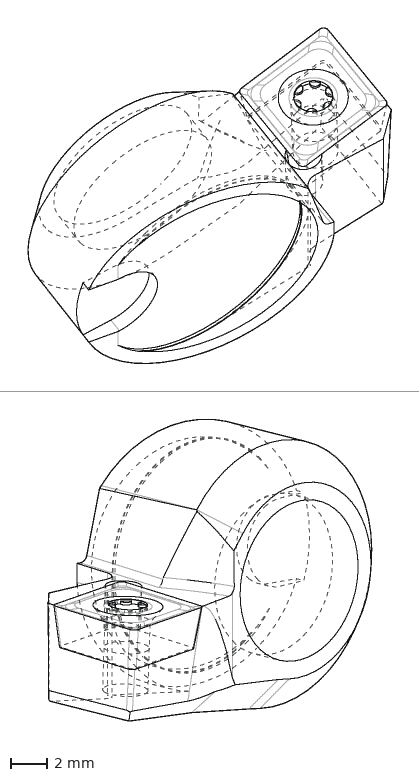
import cadquery as cq
import math


head_radius = 7.5
head_chamfer = 2.0
head_blank_end = 13.1
rear_face_angle = 9.0
rear_face_x = 9.8
lower_flank_angle = 8.0
upper_flank_angle = 38.5

bore_radius = 6.51
bore_floor_x = 7.78
relief_length = 0.2
relief_depth = 0.05
slot_width = 4.98
slot_floor_x = 6.93
slot_centre_y = -5.25

plug_radius = 4.5
plug_depth = head_chamfer

arm_end_y = 14.22
arm_right_x = 6.51
arm_corner_chamfer = 1.42
arm_root_radius = 0.9
arm_root_y = 7.47
arm_tip_chamfer_sum = 18.49
arm_chamfer_swings = [(0.87, 3.2), (4.4, 13.1)]
arm_side_angle = 10.0
arm_side_lean = 10.0
arm_side_x = -1.7
side_bend_y = 8.0
side_flare_radius = 6.55
side_flare_end_angle = 30.0
web_angle = 12.0
web_start_y = 5.1

wall_angle = 13.0
wall_foot_y = 6.9
wall_fillet = 0.45
wall_arc_end = (4.8, 7.6)
wall_arc_middle = (2.45, 6.03)
wall_arc_start = (-0.07, 4.92)

insert_centre = (1.97, 11.17)
insert_half_height = 3.2
insert_thickness = 2.38
insert_angle = 10.0
clearance_angle = 7.0
nose_radius = 0.3
arm_corner_radius = 0.22
rake_angle = 2.5
groove_depth = 0.09
groove_inset = 0.33
plateau_base_inset = 0.35
plateau_inset = 0.75
plateau_corner_radius = 0.87
pocket_relief_radius = 1.0
pocket_relief_centre = (5.0, 8.57)

screw_head_radius = 1.92
screw_head_height = 0.87
screw_shank_radius = 1.25
screw_length = 4.8
lip_radius = 1.33
lip_height = 0.09
socket_radius = 1.07
socket_countersink = 0.1
socket_depth = 0.26
lobe_count = 6
lobe_radius = 0.3
lobe_start_angle = 22.0

far = 21.85


def tan(degrees):
    return math.tan(math.radians(degrees))


def cos(degrees):
    return math.cos(math.radians(degrees))


def sin(degrees):
    return math.sin(math.radians(degrees))


def rhombus(inset):
    """Corners of the insert outline, moved inwards, starting at the cutting nose."""
    half = insert_half_height - inset
    run = half / cos(insert_angle)
    shift = half * tan(insert_angle)
    return [(-run - shift, half), (run - shift, half), (run + shift, -half), (-run + shift, -half)]


nose_x = insert_centre[0] + rhombus(0)[0][0]


def rake(shape):
    """Tilt a shape with the insert, about a line along Y through the cutting nose."""
    return shape.rotate((nose_x, 0, 0), (nose_x, 1, 0), -rake_angle)


def at_insert(z):
    return cq.Workplane("XY", origin=(*insert_centre, z))


def rounded_rhombus(inset, corner_radius):
    corners = rhombus(inset)
    return cq.Sketch().polygon(corners + corners[:1]).vertices().fillet(corner_radius)


def rhombus_loft(top_inset, bottom_inset, height, corner_radius):
    """Solid that hangs below Z = 0 between two round-cornered insert outlines."""
    top = rounded_rhombus(top_inset, corner_radius)
    bottom = rounded_rhombus(bottom_inset, corner_radius)
    return at_insert(0).placeSketch(top, bottom.moved(cq.Location((0, 0, -height)))).loft(ruled=True)


def make_insert_blank():
    bottom_inset = insert_thickness * tan(clearance_angle)
    return rhombus_loft(0, bottom_inset, insert_thickness, nose_radius)


def make_chip_groove():
    """Ring-shaped groove between the cutting edges and the raised middle."""
    groove = rhombus_loft(0, groove_inset, groove_depth, nose_radius)
    plateau = rhombus_loft(plateau_inset, plateau_base_inset, groove_depth, plateau_corner_radius)
    return groove.cut(plateau)


def make_screw_blank():
    """Straight shank and countersunk head, flat on top with a low lip in the middle."""
    return (
        cq.Workplane("XZ", origin=(*insert_centre, 0))
        .moveTo(0, -screw_length)
        .lineTo(screw_shank_radius, -screw_length)
        .lineTo(screw_shank_radius, -screw_head_height)
        .lineTo(screw_head_radius, 0)
        .lineTo(lip_radius, 0)
        .tangentArcPoint((socket_radius, lip_height), relative=False)
        .lineTo(0, lip_height)
        .close()
        .revolve(360, (0, 0), (0, 1))
    )


def make_socket():
    """Round recess with lobes that stand between the star points."""
    lobes = (
        at_insert(lip_height - socket_depth)
        .polarArray(socket_radius, lobe_start_angle, 360, lobe_count)
        .circle(lobe_radius).extrude(socket_depth - socket_countersink)
    )
    return at_insert(lip_height).circle(socket_radius).extrude(-socket_depth).cut(lobes)


insert_blank = make_insert_blank()
screw_blank = make_screw_blank()
insert = rake(insert_blank.cut(make_chip_groove()).cut(screw_blank))
screw = rake(screw_blank.cut(make_socket()))


def make_head_blank():
    """Round head whose two tangent flanks run together under the arm, chamfered in front."""
    lower = (head_radius * sin(lower_flank_angle), -head_radius * cos(lower_flank_angle))
    upper = (head_radius * cos(upper_flank_angle), head_radius * sin(upper_flank_angle))
    half_spread = (upper_flank_angle + 90 - lower_flank_angle) / 2
    tip_angle = upper_flank_angle - half_spread
    tip_distance = head_radius / cos(half_spread)
    tip = (tip_distance * cos(tip_angle), tip_distance * sin(tip_angle))

    def outline():
        return (
            cq.Workplane("YZ", origin=(head_chamfer, 0, 0))
            .moveTo(*lower).lineTo(*tip).lineTo(*upper)
            .threePointArc((-head_radius, 0), lower).close()
        )

    flank_length = arm_right_x + arm_root_radius - head_chamfer
    barrel = cq.Workplane("YZ", origin=(head_chamfer, 0, 0)).circle(head_radius).extrude(head_blank_end)
    upper_flank = (
        cq.Workplane("YZ", origin=(head_chamfer, 0, 0))
        .polyline([(0, 0), (head_radius / cos(upper_flank_angle), 0), upper]).close()
        .extrude(head_blank_end)
    )
    blank = barrel.union(upper_flank).union(outline().extrude(flank_length))
    return blank.union(outline().extrude(-head_chamfer, taper=45))


def make_arm_blank(chamfer_y, swing):
    """Bar along the lower flank; its lower front edge continues the head chamfer."""
    bottom = -head_radius
    bar = (
        cq.Workplane("XY", origin=(-far / 2, 0, bottom))
        .box(far / 2 + arm_right_x, far, -bottom, centered=False)
    )
    chamfer = (
        cq.Workplane("XZ")
        .polyline([(head_chamfer, bottom), (head_chamfer - far, bottom), (head_chamfer - far, bottom + far)])
        .close().extrude(far, both=True)
        .rotate((head_chamfer, chamfer_y, 0), (head_chamfer, chamfer_y, 1), swing)
    )
    return bar.cut(chamfer).rotate((0, 0, 0), (1, 0, 0), lower_flank_angle)


def make_end_limit():
    """Space that the end of the arm keeps within: clearance face, tip chamfer and cut corner."""
    lean = tan(clearance_angle)
    knee_z = (arm_end_y - arm_tip_chamfer_sum) / (1 - lean)
    profile = (
        cq.Workplane("YZ", origin=(-far, 0, 0))
        .polyline([
            (-far, far),
            (arm_end_y + far * lean, far),
            (arm_end_y + knee_z * lean, knee_z),
            (arm_tip_chamfer_sum - far, -far),
            (-far, -far),
        ])
        .close().extrude(2 * far)
    )
    corner = (
        cq.Workplane("XY", origin=(arm_right_x, arm_end_y, 0))
        .polyline([
            (-arm_corner_chamfer, 0),
            (0, -arm_corner_chamfer),
            (far, -arm_corner_chamfer),
            (far, far),
            (-arm_corner_chamfer, far),
        ])
        .close().extrude(far, both=True)
    )
    return profile.cut(corner)


def make_wall_cut():
    """Space above the arm, bounded by the leaning wall and by an upright curved wall."""
    lean_top = wall_foot_y - head_radius * tan(wall_angle)
    straight = (
        cq.Workplane("YZ", origin=(-far / 2, 0, 0))
        .polyline([(wall_foot_y, 0), (far, 0), (far, head_radius), (lean_top, head_radius)])
        .close().extrude(far * 1.5)
    )
    curved = (
        cq.Workplane("XY")
        .moveTo(*wall_arc_end).threePointArc(wall_arc_middle, wall_arc_start)
        .lineTo(-far / 2, wall_arc_start[1]).lineTo(-far / 2, far).lineTo(wall_arc_end[0], far)
        .close().extrude(head_radius)
    )
    straight = straight.edges(cq.selectors.NearestToPointSelector((0, wall_foot_y, 0))).fillet(wall_fillet)
    curved = curved.edges(cq.selectors.NearestToPointSelector((*wall_arc_middle, 0))).fillet(wall_fillet)
    return rake(straight.union(curved))


def make_side_cut():
    """Space beside the arm: a leaning flat that bends outwards towards the head."""
    bend_x = arm_side_x + (arm_end_y - side_bend_y) * tan(arm_side_angle)

    def flare_point(angle):
        """Point of the tangent flare where its direction has turned to this angle from Y."""
        return (
            bend_x + side_flare_radius * (cos(angle) - cos(arm_side_angle)),
            side_bend_y - side_flare_radius * (sin(arm_side_angle) - sin(angle)),
        )

    over = far - arm_end_y
    return (
        cq.Workplane("XY")
        .moveTo(arm_side_x - over * tan(arm_side_angle), far)
        .lineTo(bend_x, side_bend_y)
        .threePointArc(flare_point(0), flare_point(-side_flare_end_angle))
        .lineTo(-far / 2, 0).lineTo(-far / 2, far)
        .close().extrude(far / 2, both=True)
        .rotate((arm_side_x, arm_end_y, 0), (bend_x, side_bend_y, 0), arm_side_lean)
    )


def make_front_cut():
    """Space in front of the head face and of the upright web beside it."""
    web_x = -(far - web_start_y) * tan(web_angle)
    return (
        cq.Workplane("XY")
        .polyline([(0, -far), (0, web_start_y), (web_x, far), (-far, far), (-far, -far)])
        .close().extrude(far, both=True)
    )


def make_rear_cuts():
    """Leaning rear face, and the open space beside the arm root."""
    lean = tan(rear_face_angle)
    rear = (
        cq.Workplane("XY")
        .polyline([
            (rear_face_x + (far - head_radius) * lean, far),
            (rear_face_x - (far + head_radius) * lean, -far),
            (2 * far, -far),
            (2 * far, far),
        ])
        .close().extrude(far, both=True)
    )
    beside_arm = (
        cq.Workplane("XY", origin=(arm_right_x, arm_root_y, 0))
        .rect(far, far, centered=False).extrude(far, both=True)
        .edges("|Z and <X and <Y").fillet(arm_root_radius)
    )
    return rear.union(beside_arm)


def make_bore():
    """Rear bore with a shallow relief at its floor and a round-ended drive slot."""
    bore = cq.Workplane("YZ", origin=(bore_floor_x, 0, 0)).circle(bore_radius).extrude(far)
    relief = (
        cq.Workplane("YZ", origin=(bore_floor_x, 0, 0))
        .circle(bore_radius + relief_depth).extrude(relief_length)
    )
    slot_end = cq.Workplane("YZ", origin=(slot_floor_x, slot_centre_y, 0)).circle(slot_width / 2).extrude(far)
    slot = (
        cq.Workplane("YZ", origin=(slot_floor_x, slot_centre_y - far / 2, 0))
        .rect(far, slot_width).extrude(far)
    )
    return bore.union(relief).union(slot_end).union(slot)


def make_plug():
    return cq.Workplane("YZ").circle(plug_radius).extrude(plug_depth)


def make_holder():
    pocket_relief = (
        cq.Workplane("XY", origin=(*pocket_relief_centre, -insert_thickness))
        .circle(pocket_relief_radius).extrude(far / 2)
    )
    holder = make_head_blank()
    for chamfer_y, swing in arm_chamfer_swings:
        holder = holder.union(make_arm_blank(chamfer_y, swing))
    holder = holder.intersect(make_end_limit())
    holder = holder.cut(make_front_cut()).cut(make_rear_cuts())
    holder = holder.cut(make_side_cut()).cut(make_wall_cut())
    arm_corner = cq.selectors.NearestToPointSelector((arm_side_x, arm_end_y, -insert_thickness))
    holder = holder.edges(arm_corner).fillet(arm_corner_radius)
    holder = holder.cut(rake(insert_blank)).cut(rake(pocket_relief)).cut(rake(screw_blank))
    return holder.cut(make_bore()).cut(make_plug())


holder = make_holder()
plug = make_plug()
result = cq.Compound.makeCompound([holder.val(), insert.val(), screw.val(), plug.val()])